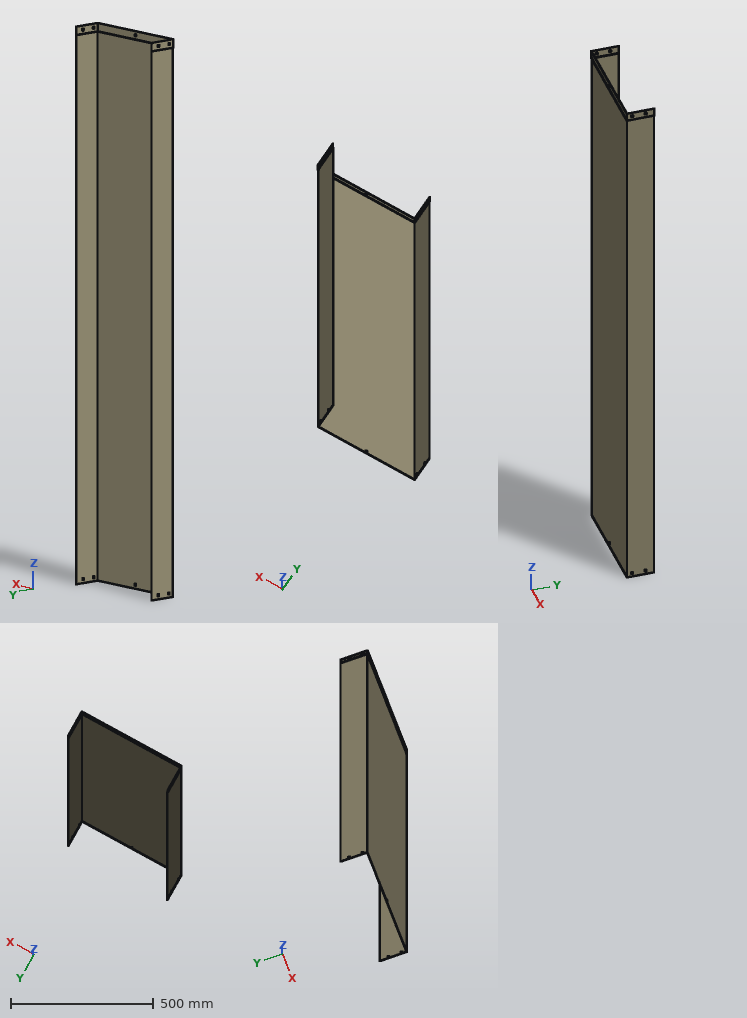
import cadquery as cq

width = 402.0
depth = 102.0
height = 1999.0
thickness = 1.0

rim_height = 30.0
step_height = 1.0
body_inset = thickness

hole_diameter = 7.0
end_hole_distance = 15.0
side_hole_spacing = 50.0
front_side_hole_y = 20.0

step_top = height - rim_height
step_bottom = step_top - step_height


def channel_outline(inset, z):
    """U-shaped wall outline, open at the back, offset inward from the outer faces."""
    outer_x = width / 2 - inset
    inner_x = outer_x - thickness
    outer_y = inset
    inner_y = outer_y + thickness
    return (
        cq.Workplane("XY", origin=(0, 0, z))
        .moveTo(-outer_x, depth)
        .lineTo(-outer_x, outer_y)
        .lineTo(outer_x, outer_y)
        .lineTo(outer_x, depth)
        .lineTo(inner_x, depth)
        .lineTo(inner_x, inner_y)
        .lineTo(-inner_x, inner_y)
        .lineTo(-inner_x, depth)
        .close()
    )


def make_channel():
    """Inset body, sloping step and full-size rim, joined end to end."""
    body = channel_outline(body_inset, 0).extrude(step_bottom)
    rim = channel_outline(0, step_top).extrude(rim_height)
    lower_wire = channel_outline(body_inset, step_bottom).val()
    upper_wire = channel_outline(0, step_top).val()
    step = cq.Workplane(cq.Solid.makeLoft([lower_wire, upper_wire], True))
    return body.union(step).union(rim)


def cut_holes(part):
    """One centred hole in the front and two in each side, near both ends."""
    radius = hole_diameter / 2
    for z in (end_hole_distance, height - end_hole_distance):
        front_drill = cq.Solid.makeCylinder(radius, depth, cq.Vector(0, 0, z), cq.Vector(0, 1, 0))
        part = part.cut(cq.Workplane(front_drill))
        for y in (front_side_hole_y, front_side_hole_y + side_hole_spacing):
            side_start = cq.Vector(-width / 2, y, z)
            side_drill = cq.Solid.makeCylinder(radius, width, side_start, cq.Vector(1, 0, 0))
            part = part.cut(cq.Workplane(side_drill))
    return part


result = cut_holes(make_channel())